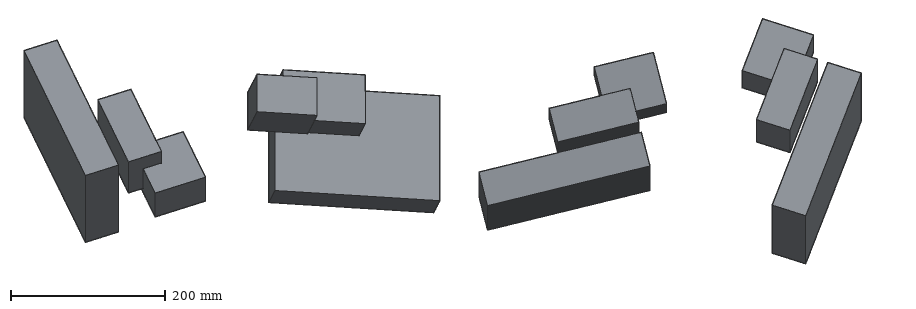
import cadquery as cq

overall_length = 259.5
overall_depth = 150.7
overall_height = 145.0

slab_length = 217.1
slab_thickness = 46.2
slab_gap = 13.7

middle_length = 108.2
middle_height = 67.5

rear_length = 79.0
rear_depth = 70.3
rear_height = 52.0
rear_top_drop = 25.0


def box_at(corner, size):
    """Box with its lowest X, Y, Z corner at the given point."""
    return cq.Workplane("XY").box(*size, centered=False).translate(corner)


def make_front_slab():
    return box_at((0, 0, 0), (slab_length, slab_thickness, overall_height))


def make_middle_block():
    corner = (
        slab_length - middle_length,
        slab_thickness + slab_gap,
        overall_height - middle_height,
    )
    return box_at(corner, (middle_length, slab_thickness, middle_height))


def make_rear_block(seated_block):
    """Rear block with a corner notch that seats the middle block."""
    corner = (
        overall_length - rear_length,
        overall_depth - rear_depth,
        overall_height - rear_top_drop - rear_height,
    )
    return box_at(corner, (rear_length, rear_depth, rear_height)).cut(seated_block)


front_slab = make_front_slab()
middle_block = make_middle_block()
rear_block = make_rear_block(middle_block)

result = cq.Compound.makeCompound([front_slab.val(), middle_block.val(), *rear_block.solids().vals()])